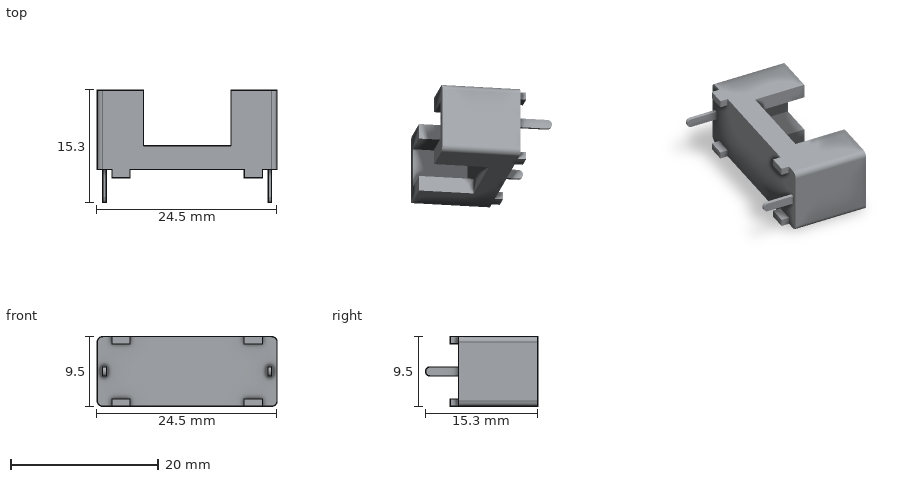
import cadquery as cq

LENGTH = 24.5
HEIGHT = 9.5
TOTAL_DEPTH = 15.3
PIN_REACH = 4.48
HOUSING_DEPTH = TOTAL_DEPTH - PIN_REACH
EDGE_RADIUS = 0.75

GAP_WIDTH = 11.85
GAP_DEPTH = 7.55

POCKET_HEIGHT = 5.35
POCKET_REACH = 4.83
POCKET_SPAN = GAP_WIDTH + 2 * POCKET_REACH

FOOT_WIDTH = 2.5
FOOT_HEIGHT = 1.0
FOOT_REACH = 1.13
FOOT_SPACING = 18.0

PIN_THICKNESS = 0.5
PIN_WIDTH = 1.25
PIN_SPACING = 22.5


def block(width, depth, height, x, y, z):
    """Box centred on x and z, running from y toward +Y."""
    return cq.Workplane("XY").box(width, depth, height, centered=(True, False, True)).translate((x, y, z))


def make_housing():
    housing = block(LENGTH, HOUSING_DEPTH, HEIGHT, 0, 0, 0).edges("|Y").fillet(EDGE_RADIUS)

    gap_start = HOUSING_DEPTH - GAP_DEPTH
    housing = housing.cut(block(GAP_WIDTH, GAP_DEPTH, HEIGHT, 0, gap_start, 0))
    housing = housing.cut(block(POCKET_SPAN, GAP_DEPTH, POCKET_HEIGHT, 0, gap_start, 0))

    foot_z = (HEIGHT - FOOT_HEIGHT) / 2
    for x_side in (-1, 1):
        for z_side in (-1, 1):
            foot = block(
                FOOT_WIDTH, FOOT_REACH, FOOT_HEIGHT, x_side * FOOT_SPACING / 2, -FOOT_REACH, z_side * foot_z
            )
            housing = housing.union(foot)
    return housing


def make_pin(x):
    """Flat pin standing on the mounting face, with a half-round tip."""
    half_width = PIN_WIDTH / 2
    tip_start = -PIN_REACH + half_width
    return (
        cq.Workplane("YZ")
        .moveTo(0, -half_width)
        .lineTo(tip_start, -half_width)
        .threePointArc((-PIN_REACH, 0), (tip_start, half_width))
        .lineTo(0, half_width)
        .close()
        .extrude(PIN_THICKNESS / 2, both=True)
        .translate((x, 0, 0))
    )


housing = make_housing()
pins = [make_pin(side * PIN_SPACING / 2) for side in (-1, 1)]

result = cq.Compound.makeCompound([housing.val(), *[pin.val() for pin in pins]])